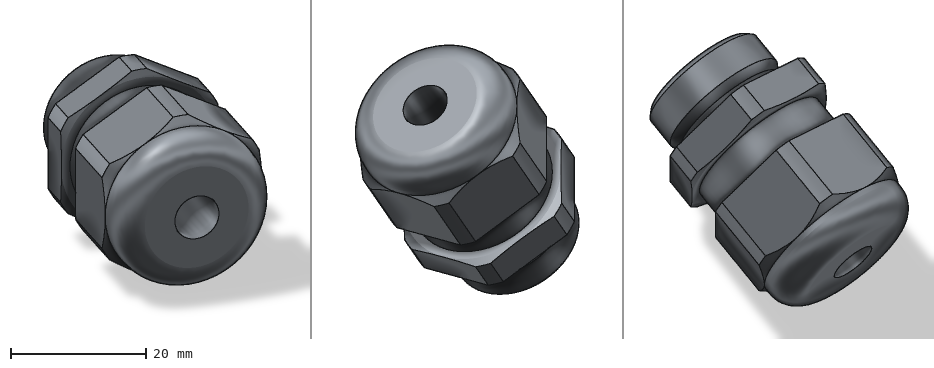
import cadquery as cq

length = 37.0

thread_diameter = 20.0
lead_in = 0.85
thread_end = 5.75
relief_start = 7.18
relief_diameter = 18.4

across_flats = 25.0
corner_diameter = 27.6
body_hex_start = 8.95
body_hex_end = 14.32
body_chamfer_length = 0.35
collar_diameter = 22.3

cap_hex_start = 19.95
cap_hex_end = 31.8
cap_chamfer_length = 1.3
dome_radius = 4.25

mouth_diameter = 10.5
bore_diameter = 7.0


def revolve_profile(points):
    """Turn a closed (x, radius) outline about the X axis."""
    return cq.Workplane("XY").polyline(points).close().revolve(360, (0, 0, 0), (1, 0, 0))


def cylinder(start, end, diameter):
    return cq.Workplane("YZ").workplane(offset=start).circle(diameter / 2).extrude(end - start)


def hexagon(start, end, chamfer_length):
    """Hexagon with flats facing +Y and -Y, rounded corners and a conical chamfer at its +X end."""
    prism = (
        cq.Workplane("YZ")
        .workplane(offset=start)
        .polygon(6, across_flats, circumscribed=True)
        .extrude(end - start)
    )
    envelope = revolve_profile([
        (start, 0),
        (start, corner_diameter / 2),
        (end - chamfer_length, corner_diameter / 2),
        (end, across_flats / 2),
        (end, 0),
    ])
    return prism.intersect(envelope)


def threaded_spigot():
    thread_radius = thread_diameter / 2
    relief_radius = relief_diameter / 2
    return revolve_profile([
        (0, 0),
        (0, thread_radius - lead_in),
        (lead_in, thread_radius),
        (thread_end, thread_radius),
        (relief_start, relief_radius),
        (body_hex_start, relief_radius),
        (body_hex_start, 0),
    ])


def domed_end():
    return cylinder(cap_hex_end, length, across_flats).faces(">X").edges().fillet(dome_radius)


def tapered_bore():
    return revolve_profile([
        (0, 0),
        (0, mouth_diameter / 2),
        (length, bore_diameter / 2),
        (length, 0),
    ])


result = (
    threaded_spigot()
    .union(hexagon(body_hex_start, body_hex_end, body_chamfer_length))
    .union(cylinder(body_hex_end, cap_hex_start, collar_diameter))
    .union(hexagon(cap_hex_start, cap_hex_end, cap_chamfer_length))
    .union(domed_end())
    .cut(tapered_bore())
)